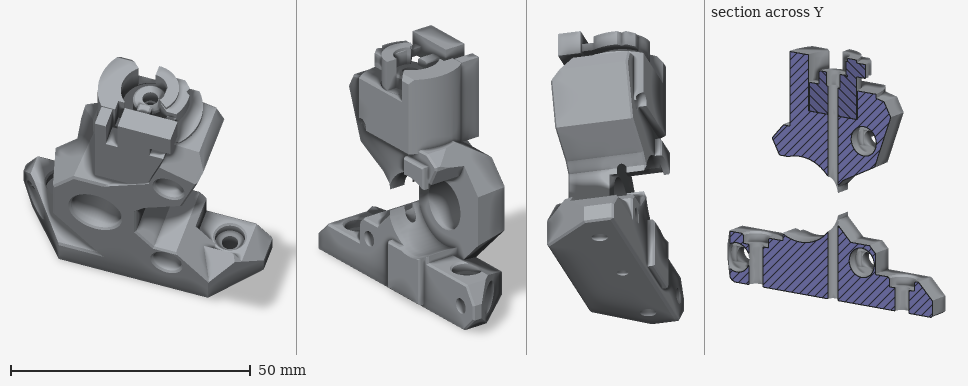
import cadquery as cq
import math


BODY_DEPTH = 16.9
WEB_DEPTH = 9.0
TOTAL_DEPTH = 18.64
EDGE_BREAK = 0.4

SHAFT_X, SHAFT_Z = 20.5, 20.5
SHAFT_BORE_D = 11.0
POCKET_R = 9.22

PATH_X, PATH_Y = 28.82, 11.7
PATH_D = 2.4
PATH_MOUTH_D = 3.3
PATH_MOUTH_DEPTH = 3.0
TOWER_R = 11.0
TOWER_ROOT_Z = 33.0
TOWER_OVERHANG_Z = 35.0
SHELF_Z = 46.2
TOWER_TOP_Z = 52.1
TOWER_BACK_CHAMFER = 1.0
TOWER_FLANK_X = 23.3
WALL_BACK_X = 23.5

RAMP_FRONT_Z = 5.7
RAMP_SLOPE = 0.51
LEFT_CORNER_X = 12.5
RIGHT_CORNER_X = 45.2
LENGTH = 54.06
LEFT_TOP_Z = 10.9
RIGHT_TOP_Z = 9.04
RIGHT_REAR_Z = 7.2
RIGHT_CREST_Y = 6.55
WING_SIDE_Z = 3.67
LEFT_END_Y = 14.8
RIGHT_END_Y = 10.5

SCREW_D = 3.4
HEAD_D = 6.25
BRIDGE_STEP = 0.3
BRIDGE_GAP = 3.5
WING_SCREW_X = (9.26, 46.28)
WING_HEAD_DEPTH = 2.1
CROSS_SCREWS = ((36.6, 35.5), (36.1, 9.15), (4.45, 5.45))
CROSS_HEAD_Y = 13.9

GAP = 0.2
PLATE_DEPTH = 4.55
PLATE_LEFT_X = 20.4
PLATE_BOTTOM_Z = 33.8
PLATE_TOP_Z = 53.3
NOTCH_Z = 45.8
STEM_X = 25.4
HEAD_DEPTH = 4.9
HEAD_RIGHT_X = 36.97
HEAD_BOTTOM_Z = 48.2
WINDOW_X = 32.4
STUB_NOTCH_X = 22.8
CORE_R = 6.0
BORE_R = CORE_R + 0.15
CORE_BOTTOM_Z = 40.0
HUB_R = 3.65
HUB_TOP_Z = 49.1
RING_TOP_Z = 52.85
RING_END_ANGLE = -39
CAM_TOP_Z = 52.2
CAM_R = 8.25
RIB_TOP_Z = 50.8


def front_prism(points, y_start, y_end):
    """Extrude an outline given in X and Z from one depth to another."""
    return cq.Workplane("XZ", origin=(0, y_start, 0)).polyline(points).close().extrude(y_start - y_end)


def plan_prism(points, z_start, z_end):
    """Extrude an outline given in X and Y from one height to another."""
    return cq.Workplane("XY", origin=(0, 0, z_start)).polyline(points).close().extrude(z_end - z_start)


def block(x_range, y_range, z_range):
    corner = cq.Vector(x_range[0], y_range[0], z_range[0])
    size = (x_range[1] - x_range[0], y_range[1] - y_range[0], z_range[1] - z_range[0])
    return cq.Workplane(cq.Solid.makeBox(*size, pnt=corner))


def upright(x, y, radius, z_start, z_end):
    return cq.Workplane("XY", origin=(x, y, z_start)).circle(radius).extrude(z_end - z_start)


def crosswise(x, z, radius, y_start, y_end):
    return cq.Workplane("XZ", origin=(x, y_start, z)).circle(radius).extrude(y_start - y_end)


def cone(point, direction, radius_start, radius_end, height):
    return cq.Workplane(
        cq.Solid.makeCone(radius_start, radius_end, height, pnt=cq.Vector(*point), dir=cq.Vector(*direction))
    )


def beyond(first, second, third):
    """Space outside the plane through three points, listed anticlockwise as seen from outside."""
    start = cq.Vector(*first)
    along = cq.Vector(*second) - start
    outward = along.cross(cq.Vector(*third) - start)
    return cq.Workplane(cq.Plane(origin=start, xDir=along, normal=outward)).rect(200, 200).extrude(60)


def above_ramp():
    """Space above the sloping wing tops."""
    back_z = RAMP_FRONT_Z + RAMP_SLOPE * BODY_DEPTH
    return beyond((0, 0, RAMP_FRONT_Z), (LENGTH, 0, RAMP_FRONT_Z), (0, BODY_DEPTH, back_z))


def left_wing():
    inner_x = 24.0
    outline = [
        (3.5, 0), (inner_x, 0), (inner_x, LEFT_TOP_Z), (2.5, LEFT_TOP_Z), (0, 7.0), (0, WING_SIDE_Z),
    ]
    plan = [(LEFT_CORNER_X, 0), (inner_x, 0), (inner_x, BODY_DEPTH), (0, BODY_DEPTH), (0, LEFT_END_Y)]
    wing = front_prism(outline, 0, BODY_DEPTH)
    return wing.intersect(plan_prism(plan, 0, LEFT_TOP_Z)).cut(above_ramp())


def right_wing():
    inner_x = 36.0
    slope_x = LENGTH - (RIGHT_TOP_Z - WING_SIDE_Z)
    outline = [
        (inner_x, 0), (LENGTH, 0), (LENGTH, WING_SIDE_Z), (slope_x, RIGHT_TOP_Z), (inner_x, RIGHT_TOP_Z),
    ]
    plan = [
        (inner_x, 0), (RIGHT_CORNER_X, 0), (LENGTH, RIGHT_END_Y), (LENGTH, BODY_DEPTH), (inner_x, BODY_DEPTH),
    ]
    wing = front_prism(outline, 0, BODY_DEPTH)
    wing = wing.cut(block((inner_x, LENGTH), (RIGHT_CREST_Y, BODY_DEPTH), (RIGHT_REAR_Z, RIGHT_TOP_Z)))
    return wing.intersect(plan_prism(plan, 0, RIGHT_TOP_Z)).cut(above_ramp())


TOP_FRONT_Z = 30.7
TOP_BACK_Z = 36.0
SEAT_START = (22.9, TOP_FRONT_Z)
SEAT_BEND = (32.2, 35.5)
SEAT_END = (35.9, 46.0)
FLANK_LOW = (11.2, 0, 15.8)
FLANK_BACK = (8.9, WEB_DEPTH, 15.4)
WAIST = (21.5, 0, 5.5)
SHOULDER_LOW = (11.2, 0, 25.7)
SHOULDER_HIGH = (15.6, 0, TOP_FRONT_Z)
SHOULDER_BACK = (8.9, WEB_DEPTH, 26.6)
CREST = (17.2, 8.5, TOP_BACK_Z)


def beyond_shoulder():
    return beyond(SHOULDER_LOW, SHOULDER_HIGH, SHOULDER_BACK)


def tapered_web():
    web = block((8.0, 28.0), (0, WEB_DEPTH), (5.5, TOP_BACK_Z))
    web = web.cut(beyond(FLANK_LOW, SHOULDER_LOW, SHOULDER_BACK))
    web = web.cut(beyond(FLANK_LOW, FLANK_BACK, WAIST))
    web = web.cut(beyond_shoulder())
    return web.cut(beyond(SHOULDER_HIGH, (SEAT_START[0], 0, SEAT_START[1]), CREST))


ARM_TIP = (43.5, 41.7)
ARM_HEEL = (39.4, 30.3)
LEDGE_X = 33.3
LEDGE_Z = 13.2
RIGHT_EDGE = [
    SEAT_END, (36.8, 46.0), (41.8, 44.85), ARM_TIP, ARM_HEEL, (31.4, 26.2), (29.4, 24.2), (29.4, 17.1),
    (LEDGE_X, LEDGE_Z),
]
WEB_FOOT = [(38.1, LEDGE_Z), (RIGHT_CORNER_X, 6.0), (RIGHT_CORNER_X, 0)]
BACK_FOOT = [(38.1, LEDGE_Z), (39.6, 11.7), (39.6, 0)]


def straight_web():
    inner_x = 21.5
    left_edge = [(inner_x, 0), (inner_x, TOP_FRONT_Z)]
    return front_prism(left_edge + [SEAT_START, SEAT_BEND] + RIGHT_EDGE + WEB_FOOT, 0, WEB_DEPTH)


LUG_EDGE = [(13.1, 33.1), (13.1, 34.0), (16.2, TOP_BACK_Z)]


def back_part():
    base_left = [(16.0, 0), (16.0, 12.6)]
    pocket_side = [(SHAFT_X, 12.6), (SHAFT_X, 29.2), (15.2, 29.2)]
    outline = base_left + pocket_side + LUG_EDGE + [SEAT_BEND] + RIGHT_EDGE + BACK_FOOT
    return front_prism(outline, WEB_DEPTH, BODY_DEPTH).cut(beyond_shoulder())


def arm_front_bevel():
    """Space in front of the slope at the tip of the arm."""
    return beyond((34.8, 0, 42.3), (42.35, 0, 39.7), (41.8, 4.6, 44.85))


PAD_FACE_Y = 18.35
PAD_BEVEL = 0.35
PADS = (((15.6, 22.5), (27.0, 33.4)), ((17.0, 28.0), (1.2, 12.0)))


def back_pad(x_range, z_range):
    pad = block(x_range, (BODY_DEPTH, PAD_FACE_Y), z_range)
    return pad.faces(">Y").edges().chamfer(PAD_BEVEL)


def tower_column():
    column = upright(PATH_X, PATH_Y, TOWER_R, TOWER_ROOT_Z, TOWER_TOP_Z)
    front_y = PLATE_DEPTH + GAP
    reach = (PATH_X - TOWER_R, PATH_X + TOWER_R)
    column = column.intersect(block(reach, (front_y, TOTAL_DEPTH), (TOWER_ROOT_Z, TOWER_TOP_Z)))
    column = column.cut(block(reach, (BODY_DEPTH, TOTAL_DEPTH), (TOWER_ROOT_Z, TOWER_OVERHANG_Z)))
    return column.cut(above_shelf()).cut(top_back_bevel())


def above_shelf():
    """Open space over the shelf, which leaves the tall wall on the left only."""
    bore_side_y = 7.0
    wall_end_x = 24.66
    wall_end_y = 16.45
    back_y = TOTAL_DEPTH + 1
    bevel_y = TOTAL_DEPTH - TOWER_BACK_CHAMFER
    front_y = PLATE_DEPTH
    right_x = PATH_X + TOWER_R
    outline = [
        (TOWER_FLANK_X, front_y), (TOWER_FLANK_X, bore_side_y), (wall_end_x, bore_side_y),
        (wall_end_x, wall_end_y), (WALL_BACK_X - back_y + bevel_y, back_y), (right_x, back_y), (right_x, front_y),
    ]
    opening = plan_prism(outline, SHELF_Z, TOWER_TOP_Z)
    return opening.union(upright(PATH_X, PATH_Y, BORE_R, SHELF_Z, TOWER_TOP_Z))


def top_back_bevel():
    edge_y = TOTAL_DEPTH - TOWER_BACK_CHAMFER
    edge_z = TOWER_TOP_Z - TOWER_BACK_CHAMFER
    side = [(edge_y, TOWER_TOP_Z), (TOTAL_DEPTH, TOWER_TOP_Z), (TOTAL_DEPTH, edge_z)]
    return cq.Workplane("YZ").polyline(side).close().extrude(LENGTH)


def shaft_bore():
    bore = crosswise(SHAFT_X, SHAFT_Z, SHAFT_BORE_D / 2, 0, WEB_DEPTH)
    mouth_r = SHAFT_BORE_D / 2 + EDGE_BREAK
    return bore.union(cone((SHAFT_X, 0, SHAFT_Z), (0, 1, 0), mouth_r, mouth_r - EDGE_BREAK, EDGE_BREAK))


def gear_pocket():
    return crosswise(SHAFT_X, SHAFT_Z, POCKET_R, WEB_DEPTH, PAD_FACE_Y)


def cross_screw_hole(x, z):
    """Screw hole along Y with a deep head recess and a two-step printable bridge."""
    radius = HEAD_D / 2
    hole = crosswise(x, z, SCREW_D / 2, 0, TOTAL_DEPTH)
    recess = crosswise(x, z, radius, 0, CROSS_HEAD_Y)
    half = BRIDGE_GAP / 2
    slot_end_y = CROSS_HEAD_Y + BRIDGE_STEP
    slot = block((x - radius, x + radius), (CROSS_HEAD_Y, slot_end_y), (z - half, z + half))
    slot = slot.intersect(crosswise(x, z, radius, CROSS_HEAD_Y, slot_end_y))
    square = block((x - half, x + half), (slot_end_y, slot_end_y + BRIDGE_STEP), (z - half, z + half))
    return hole.union(recess).union(slot).union(square)


def front_mouth(x, z):
    mouth_r = HEAD_D / 2 + EDGE_BREAK
    return cone((x, 0, z), (0, 1, 0), mouth_r, HEAD_D / 2, EDGE_BREAK)


def wing_screw_hole(x, top_z):
    radius = HEAD_D / 2
    hole = upright(x, PATH_Y, SCREW_D / 2, 0, top_z)
    recess = upright(x, PATH_Y, radius, top_z - WING_HEAD_DEPTH, top_z)
    mouth = cone((x, PATH_Y, top_z), (0, 0, -1), radius + EDGE_BREAK, radius, EDGE_BREAK)
    return hole.union(recess).union(mouth)


def break_edges(body):
    """Chamfer the outline of the back face, the underside and most of the front outline."""
    left_side = cq.selectors.BoxSelector((10, -1, 5), (22.5, 1, 31))
    right_side = cq.selectors.BoxSelector((28, -1, 13), (42, 1, 36))
    body = body.faces(">Y").edges().chamfer(EDGE_BREAK)
    body = body.faces("<Y").edges(left_side + right_side).chamfer(EDGE_BREAK)
    return body.faces("<Z").edges().chamfer(EDGE_BREAK)


def make_frame():
    body = back_part().union(straight_web()).union(tapered_web())
    body = body.cut(arm_front_bevel())
    body = body.union(left_wing()).union(right_wing())
    body = break_edges(body)
    for x_range, z_range in PADS:
        body = body.union(back_pad(x_range, z_range))
    body = body.union(tower_column())
    body = body.cut(gear_pocket()).cut(shaft_bore())
    body = body.cut(upright(PATH_X, PATH_Y, BORE_R, CORE_BOTTOM_Z, TOWER_TOP_Z))
    body = body.cut(upright(PATH_X, PATH_Y, PATH_D / 2, 0, TOWER_TOP_Z))
    for x, z in CROSS_SCREWS:
        body = body.cut(cross_screw_hole(x, z))
    for x, z in CROSS_SCREWS[:2]:
        body = body.cut(front_mouth(x, z))
    for x, top_z in zip(WING_SCREW_X, (LEFT_TOP_Z, RIGHT_REAR_Z)):
        body = body.cut(wing_screw_hole(x, top_z))
    return body


def front_plate():
    outline = [
        (PLATE_LEFT_X, PLATE_BOTTOM_Z), (28.3, PLATE_BOTTOM_Z), (31.9, 35.7), (35.4, NOTCH_Z),
        (WINDOW_X, NOTCH_Z), (WINDOW_X, HEAD_BOTTOM_Z), (HEAD_RIGHT_X, HEAD_BOTTOM_Z),
        (HEAD_RIGHT_X, PLATE_TOP_Z), (STEM_X, PLATE_TOP_Z), (STEM_X, NOTCH_Z),
        (STUB_NOTCH_X, NOTCH_Z), (STUB_NOTCH_X, TOWER_TOP_Z), (PLATE_LEFT_X, TOWER_TOP_Z),
    ]
    head = block((STEM_X, HEAD_RIGHT_X), (0, HEAD_DEPTH), (HEAD_BOTTOM_Z, PLATE_TOP_Z))
    return front_prism(outline, 0, PLATE_DEPTH).union(head)


def ring_sector(radius_in, radius_out, z_start, z_end):
    """Part of a ring from straight behind the filament path round to the front right."""
    def at(radius, angle):
        turn = math.radians(angle)
        return (PATH_X + radius * math.cos(turn), PATH_Y + radius * math.sin(turn))

    middle_angle = (90 + RING_END_ANGLE) / 2
    return (
        cq.Workplane("XY", origin=(0, 0, z_start))
        .moveTo(*at(radius_in, 90)).lineTo(*at(radius_out, 90))
        .threePointArc(at(radius_out, middle_angle), at(radius_out, RING_END_ANGLE))
        .lineTo(*at(radius_in, RING_END_ANGLE))
        .threePointArc(at(radius_in, middle_angle), at(radius_in, 90))
        .close().extrude(z_end - z_start)
    )


def cam():
    """Hooked arm on the right of the ring."""
    outline = (
        cq.Workplane("XY", origin=(0, 0, HUB_TOP_Z))
        .moveTo(32.0, 16.3).lineTo(35.0, 16.3).lineTo(36.6, 14.6).lineTo(36.1, 13.6)
        .lineTo(PATH_X + CAM_R, 12.8)
        .threePointArc((PATH_X + CAM_R - 0.15, 10.2), (35.9, 7.4))
        .lineTo(33.8, 7.4).lineTo(32.0, 9.0).close()
    )
    return outline.extrude(CAM_TOP_Z - HUB_TOP_Z)


def ribs():
    """Two ribs that join the front plate to the core and to the cam."""
    core_rib = block((27.3, 30.2), (PLATE_DEPTH, 8.6), (SHELF_Z + GAP, RIB_TOP_Z))
    core_rib = core_rib.edges("|Y and >Z").chamfer(EDGE_BREAK)
    cam_rib = block((33.9, 35.8), (PLATE_DEPTH, 7.6), (HUB_TOP_Z, RIB_TOP_Z))
    return core_rib.union(cam_rib)


def make_cover():
    core = upright(PATH_X, PATH_Y, CORE_R, CORE_BOTTOM_Z, SHELF_Z)
    hub = upright(PATH_X, PATH_Y, HUB_R, SHELF_Z, HUB_TOP_Z).faces(">Z").edges().chamfer(EDGE_BREAK)
    core = core.union(hub)
    core = core.union(ring_sector(HUB_R - 0.1, CORE_R, SHELF_Z, RING_TOP_Z))
    body = core.union(cam()).union(ribs()).union(front_plate())
    body = body.cut(upright(PATH_X, PATH_Y, PATH_D / 2, CORE_BOTTOM_Z, HUB_TOP_Z))
    return body.cut(upright(PATH_X, PATH_Y, PATH_MOUTH_D / 2, HUB_TOP_Z - PATH_MOUTH_DEPTH, HUB_TOP_Z))


frame = make_frame()
cover = make_cover()

result = cq.Compound.makeCompound([frame.val(), cover.val()])